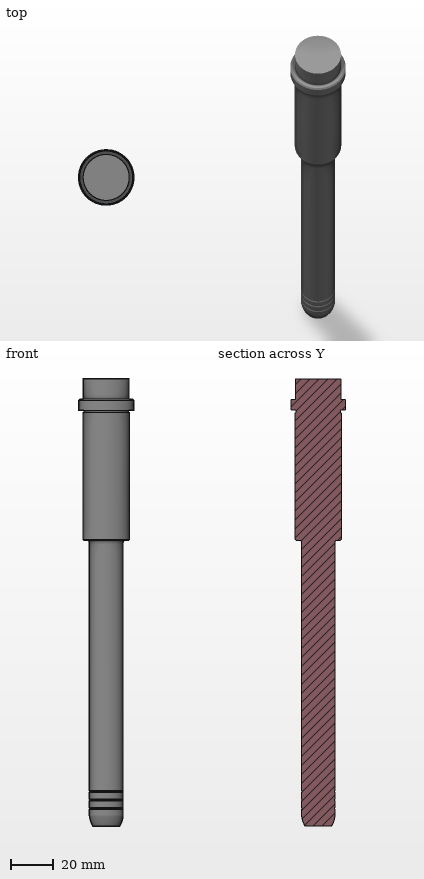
import cadquery as cq

total_length = 210.0
rod_radius = 8.0
sleeve_radius = 11.0
head_clearance = 0.13
head_radius = sleeve_radius - head_clearance
collar_radius = 13.0

sleeve_bottom = 134.0
collar_bottom = 195.0
collar_top = 200.3

sleeve_chamfer = 0.6
collar_chamfer = 0.6
rod_fillet = 0.6
head_fillet = 0.2
relief_radius = 10.5
relief_width = 1.0

tip_radius = 6.3
tip_height = 5.0
tip_bulge = 0.32

groove_count = 3
groove_pitch = 4.0
groove_width = 1.0
groove_depth = 0.32
lowest_groove_z = 8.5


def turned_body():
    """Revolve the half profile of rod, sleeve, collar and head about Z."""
    arc_middle = ((tip_radius + rod_radius) / 2 + tip_bulge, tip_height / 2)
    relief_bottom = collar_bottom - relief_width
    profile = (
        cq.Workplane("XZ")
        .lineTo(tip_radius, 0)
        .threePointArc(arc_middle, (rod_radius, tip_height))
        .lineTo(rod_radius, sleeve_bottom - rod_fillet)
        .radiusArc((rod_radius + rod_fillet, sleeve_bottom), rod_fillet)
        .lineTo(sleeve_radius - sleeve_chamfer, sleeve_bottom)
        .lineTo(sleeve_radius, sleeve_bottom + sleeve_chamfer)
        .lineTo(sleeve_radius, relief_bottom)
        .lineTo(relief_radius, relief_bottom)
        .lineTo(relief_radius, collar_bottom)
        .lineTo(collar_radius, collar_bottom)
        .lineTo(collar_radius, collar_top - collar_chamfer)
        .lineTo(collar_radius - collar_chamfer, collar_top)
        .lineTo(head_radius + head_fillet, collar_top)
        .radiusArc((head_radius, collar_top + head_fillet), head_fillet)
        .lineTo(head_radius, total_length)
        .lineTo(0, total_length)
        .close()
    )
    return profile.revolve(360, (0, 0, 0), (0, 1, 0))


def ring_groove(center_z):
    """V-shaped ring of material removed around the rod at the given height."""
    half_width = groove_width / 2
    section = (
        cq.Workplane("XZ")
        .moveTo(rod_radius, center_z - half_width)
        .lineTo(rod_radius, center_z + half_width)
        .lineTo(rod_radius - groove_depth, center_z)
        .close()
    )
    return section.revolve(360, (0, 0, 0), (0, 1, 0))


result = turned_body()
for index in range(groove_count):
    result = result.cut(ring_groove(lowest_groove_z + index * groove_pitch))